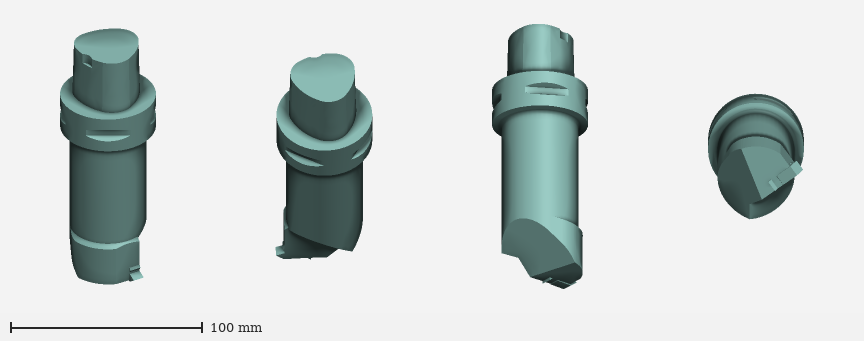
import cadquery as cq
import math


TOTAL_LENGTH = 135.8
SHANK_LENGTH = 30.0
FLANGE_LENGTH = 19.7
BODY_END_Z = -80.2
HEAD_END_Z = -104.4
INSERT_LOW_Z = SHANK_LENGTH - TOTAL_LENGTH

LOBE_CENTER = 7.0
LOBE_RADIUS = 11.7
FLAT_REACH = 16.3
SHANK_TAPER = 1 / 20
LOBE_ANGLES = (90, 210, 330)

KEYWAY_RADIUS = 5.0
KEYWAY_DEPTH = 5.4
KEYWAY_INNER_REACH = 14.0

FLANGE_RADIUS = 25.0
BODY_RADIUS = 40.0 / 2
NECK_CONE_RADIUS = 22.0
NECK_CONE_LENGTH = 0.8
NECK_FILLET = BODY_RADIUS / 10

NOTCH_COUNT = 4
NOTCH_CENTER_Z = -10.0
NOTCH_FLOOR_REACH = 22.1
NOTCH_FLOOR_HEIGHT = 3.5
NOTCH_MOUTH_HEIGHT = 6.9

HEAD_RADIUS = 22.3
HEAD_CONE_LENGTH = 2.0
FLANK_ANGLE = 38
HEAD_LAND = 1.2
FACET_REACH = 21.0
BACK_CUT_START_Z = -80.7
BACK_CUT_END_X = 0.7
END_RELIEF_ANGLE = 1

RAKE_ANGLE = 15
TIP_X = FLANGE_RADIUS + 1.4
RAKE_REACH = TIP_X * math.sin(math.radians(RAKE_ANGLE))
POCKET_FLOOR_AXIS_Z = -97.1
POCKET_AZIMUTH = 45

INSERT_THICKNESS = 6.0
INSERT_CENTER_X = 16.5
TIP_DROP = 3.4
TOOTH_TOP_ROOT = (5.2, -1.5)
TOOTH_LOW_ROOT = (6.1, -6.2)
EDGE_CORNER = (6.5, 0.7)
CORNER_TURNS = (0, -120, -240)

REACH = TOTAL_LENGTH


def polar(radius, degrees):
    angle = math.radians(degrees)
    return radius * math.cos(angle), radius * math.sin(angle)


def turned(point, degrees):
    angle = math.radians(degrees)
    x, y = point
    return (x * math.cos(angle) - y * math.sin(angle), x * math.sin(angle) + y * math.cos(angle))


def shank_section(z, inset):
    """Closed outline of three lobe arcs and three flatter arcs, all tangent to each other."""
    step = FLAT_REACH - LOBE_RADIUS
    flat_center = (LOBE_CENTER**2 - step**2) / (2 * step - LOBE_CENTER)
    joint_angle = math.degrees(
        math.atan2(flat_center * math.sin(math.pi / 3), LOBE_CENTER + flat_center * math.cos(math.pi / 3))
    )
    radius = LOBE_RADIUS - inset

    def joint(lobe_angle, side):
        center = polar(LOBE_CENTER, lobe_angle)
        offset = polar(radius, lobe_angle + side * joint_angle)
        return center[0] + offset[0], center[1] + offset[1]

    outline = cq.Workplane("XY", origin=(0, 0, z)).moveTo(*joint(LOBE_ANGLES[0], -1))
    for angle in LOBE_ANGLES:
        outline = outline.threePointArc(polar(LOBE_CENTER + radius, angle), joint(angle, 1))
        outline = outline.threePointArc(polar(FLAT_REACH - inset, angle + 60), joint(angle + 120, -1))
    return outline.close().val()


def make_shank():
    top_inset = SHANK_LENGTH * SHANK_TAPER / 2
    sections = [shank_section(0, 0), shank_section(SHANK_LENGTH, top_inset)]
    shank = cq.Workplane(cq.Solid.makeLoft(sections, True))
    keyway = (
        cq.Workplane("XY", origin=(0, -KEYWAY_INNER_REACH - KEYWAY_RADIUS, SHANK_LENGTH - KEYWAY_DEPTH))
        .circle(KEYWAY_RADIUS)
        .extrude(KEYWAY_DEPTH)
    )
    return shank.cut(keyway)


def make_flange_and_body():
    cone_end_z = -FLANGE_LENGTH - NECK_CONE_LENGTH
    return (
        cq.Workplane("XZ")
        .lineTo(FLANGE_RADIUS, 0)
        .lineTo(FLANGE_RADIUS, -FLANGE_LENGTH)
        .lineTo(NECK_CONE_RADIUS, cone_end_z)
        .radiusArc((BODY_RADIUS, cone_end_z - NECK_FILLET), -NECK_FILLET)
        .lineTo(BODY_RADIUS, HEAD_END_Z)
        .lineTo(0, HEAD_END_Z)
        .close()
        .revolve(360, (0, 0, 0), (0, 1, 0))
    )


def make_notch(angle):
    """Straight notch with a flat floor and sloping sides, cut across the flange rim."""
    half_floor = NOTCH_FLOOR_HEIGHT / 2
    half_mouth = NOTCH_MOUTH_HEIGHT / 2
    return (
        cq.Workplane("XZ", origin=(0, 0, NOTCH_CENTER_Z))
        .moveTo(NOTCH_FLOOR_REACH, -half_floor)
        .lineTo(FLANGE_RADIUS, -half_mouth)
        .lineTo(FLANGE_RADIUS, half_mouth)
        .lineTo(NOTCH_FLOOR_REACH, half_floor)
        .close()
        .extrude(FLANGE_RADIUS, both=True)
        .rotate((0, 0, 0), (0, 0, 1), angle)
    )


def make_head_bulge():
    """Part of the head that stands out past the round body, with a conical upper edge."""
    flank = math.radians(FLANK_ANGLE)
    blend_radius = (BODY_RADIUS - HEAD_RADIUS * math.cos(flank)) / (1 - math.cos(flank))
    flank_start = polar(BODY_RADIUS, -90 - FLANK_ANGLE)
    blend_start = polar(blend_radius, -90 - FLANK_ANGLE)
    blend_center_y = blend_radius - HEAD_RADIUS
    land_end = (HEAD_LAND, -math.sqrt(HEAD_RADIUS**2 - HEAD_LAND**2))
    facet_half = math.sqrt(HEAD_RADIUS**2 - FACET_REACH**2)
    facet_start = turned((FACET_REACH, -facet_half), -RAKE_ANGLE)
    facet_end = turned((FACET_REACH, RAKE_REACH), -RAKE_ANGLE)
    bulge = (
        cq.Workplane("XY", origin=(0, 0, HEAD_END_Z))
        .moveTo(*flank_start)
        .lineTo(blend_start[0], blend_center_y + blend_start[1])
        .radiusArc((0, -HEAD_RADIUS), -blend_radius)
        .lineTo(*land_end)
        .radiusArc(facet_start, -HEAD_RADIUS)
        .lineTo(*facet_end)
        .lineTo(*turned((0, RAKE_REACH), -RAKE_ANGLE))
        .close()
        .extrude(BODY_END_Z - HEAD_END_Z)
    )
    envelope = (
        cq.Workplane("XZ")
        .moveTo(0, BODY_END_Z)
        .lineTo(BODY_RADIUS, BODY_END_Z)
        .lineTo(HEAD_RADIUS, BODY_END_Z - HEAD_CONE_LENGTH)
        .lineTo(FLANGE_RADIUS, BODY_END_Z - HEAD_CONE_LENGTH)
        .lineTo(FLANGE_RADIUS, HEAD_END_Z)
        .lineTo(0, HEAD_END_Z)
        .close()
        .revolve(360, (0, 0, 0), (0, 1, 0))
    )
    return bulge.intersect(envelope)


def make_back_cut():
    """Wedge that slopes the back of the head from the body rim to the end face."""
    return (
        cq.Workplane("XZ")
        .moveTo(-BODY_RADIUS, BACK_CUT_START_Z)
        .lineTo(BACK_CUT_END_X, HEAD_END_Z)
        .lineTo(-BODY_RADIUS, HEAD_END_Z)
        .close()
        .extrude(FLANGE_RADIUS, both=True)
    )


def make_end_relief():
    """Thin wedge that lets the end face rise slightly towards -Y, away from the cutting side."""
    relief_start_y = RAKE_REACH
    relief_rise = (relief_start_y + FLANGE_RADIUS) * math.tan(math.radians(END_RELIEF_ANGLE))
    return (
        cq.Workplane("YZ")
        .moveTo(relief_start_y, HEAD_END_Z)
        .lineTo(-FLANGE_RADIUS, HEAD_END_Z + relief_rise)
        .lineTo(-FLANGE_RADIUS, HEAD_END_Z)
        .close()
        .extrude(FLANGE_RADIUS, both=True)
    )


def rake_plane(x, z):
    """Plane lying on the rake face, with its origin at the given X and Z."""
    angle = math.radians(RAKE_ANGLE)
    y = (TIP_X - x) * math.tan(angle)
    return cq.Plane(
        origin=(x, y, z),
        xDir=(math.cos(angle), -math.sin(angle), 0),
        normal=(math.sin(angle), math.cos(angle), 0),
    )


def make_chip_pocket():
    """Open space in front of the rake plane, under a floor that slopes at 45 degrees."""
    below_floor = (
        cq.Workplane("XZ")
        .moveTo(-REACH, POCKET_FLOOR_AXIS_Z - REACH)
        .lineTo(REACH, POCKET_FLOOR_AXIS_Z - REACH)
        .lineTo(REACH, POCKET_FLOOR_AXIS_Z + REACH)
        .close()
        .extrude(REACH, both=True)
        .rotate((0, 0, 0), (0, 0, 1), POCKET_AZIMUTH)
    )
    in_front = cq.Workplane(rake_plane(0, HEAD_END_Z)).rect(REACH, REACH).extrude(REACH)
    return in_front.intersect(below_floor)


def make_insert():
    tip = ((TIP_X - INSERT_CENTER_X) / math.cos(math.radians(RAKE_ANGLE)), -TIP_DROP)
    lowest_tip = turned(tip, CORNER_TURNS[1])
    corner = (EDGE_CORNER, TOOTH_TOP_ROOT, tip, TOOTH_LOW_ROOT)
    outline = [turned(point, turn) for turn in CORNER_TURNS for point in corner]
    outline = [(across, -height) for across, height in outline]
    center_z = INSERT_LOW_Z - lowest_tip[1]
    return (
        cq.Workplane(rake_plane(INSERT_CENTER_X, center_z))
        .polyline(outline)
        .close()
        .extrude(-INSERT_THICKNESS)
    )


def make_holder(insert):
    holder = make_flange_and_body().union(make_shank()).union(make_head_bulge())
    for index in range(NOTCH_COUNT):
        holder = holder.cut(make_notch((index + 0.5) * 360 / NOTCH_COUNT))
    for removed in (make_back_cut(), make_end_relief(), make_chip_pocket(), insert):
        holder = holder.cut(removed)
    return holder.solids()


insert = make_insert()
holder = make_holder(insert)
result = cq.Compound.makeCompound([holder.val(), insert.val()])